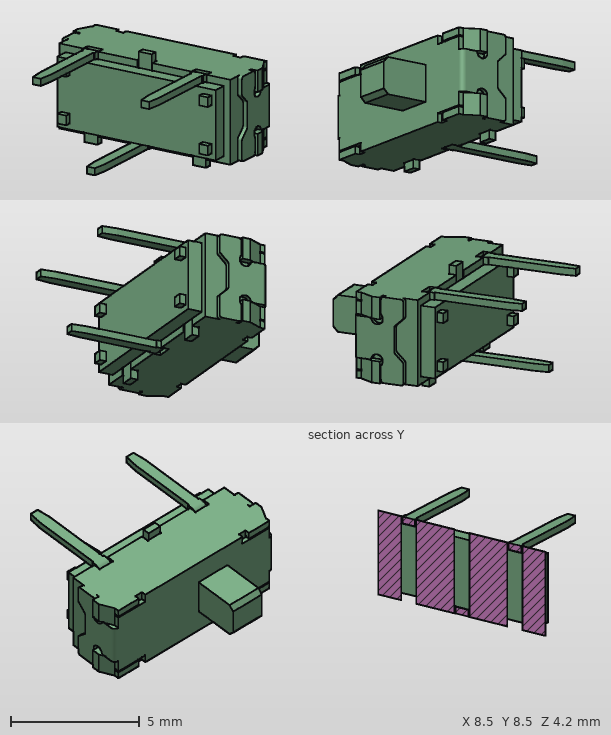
import cadquery as cq


overall_length = 8.5

housing_half_x = 3.94
housing_half_z = 1.75
housing_depth = 2.62
sheet = 0.2
bend_radius = 0.195

plate_outer_x = housing_half_x + sheet
plate_rear_y = -2.1
plate_waist_y = -1.71
cutout_center_z = 0.08
cutout_half_outer = 0.9
cutout_half_inner = 0.535
plate_corner_radius = 0.11
cutout_radius = 0.11

ear_outer_x = 4.25
ear_slope_y = -0.8
ear_rear_y = -1.14
ear_inner_z = 0.86
relief_radius = 0.25
relief_y = -0.97
relief_corner_radius = 0.085

notch_inner_x = 2.53
notch_outer_x = 2.87
flange_thickness = 0.31
relief_gap = 0.05

slider_length = 2.01
slider_center_x = -0.995
slider_width = 1.505
slider_height = 1.505
slider_chamfer = 0.2

base_half_x = 3.65
base_half_z = 1.445
base_rear_y = -3.22
peg_size = 0.4
peg_rear_y = -3.49
peg_x = 3.26
peg_z = 0.995

terminal_pitch = 2.5
terminal_thickness = 0.3
terminal_width = 0.6
terminal_slot_width = 0.7
terminal_slot_depth = 0.32
bend_inner_radius = 0.025
tab_reach = 2.1
pin_width = 0.5
pin_tip_width = 0.365
pin_shoulder_y = -2.8
pin_taper_y = -5.865
pin_end_y = slider_length - overall_length


def box(x_range, y_range, z_range):
    """Box spanning the given (low, high) range along each axis."""
    lows, highs = zip(x_range, y_range, z_range)
    sizes = [high - low for low, high in zip(lows, highs)]
    return cq.Workplane("XY").box(*sizes, centered=False).translate(lows)


def mirrored_in_x(shape):
    return shape.union(shape.mirror("YZ"))


def mirrored_in_z(shape):
    return shape.union(shape.mirror("XY"))


def plate_zone(y_low, y_high, z_low, z_high):
    """Selects edges of the -X end plate centred in the given range, widened by a small margin."""
    margin = 0.04
    return cq.selectors.BoxSelector(
        (-plate_outer_x - margin, y_low - margin, z_low - margin),
        (-housing_half_x + margin, y_high + margin, z_high + margin),
    )


def end_plate():
    """Cover plate on the -X end: bent front edge, trapezoid rear cut-out, two side openings."""
    top = housing_half_z
    plate = (
        cq.Workplane("YZ")
        .moveTo(0, -ear_inner_z)
        .lineTo(ear_rear_y, -ear_inner_z)
        .lineTo(ear_rear_y, -top)
        .lineTo(plate_rear_y, -top)
        .lineTo(plate_rear_y, cutout_center_z - cutout_half_outer)
        .lineTo(plate_waist_y, cutout_center_z - cutout_half_inner)
        .lineTo(plate_waist_y, cutout_center_z + cutout_half_inner)
        .lineTo(plate_rear_y, cutout_center_z + cutout_half_outer)
        .lineTo(plate_rear_y, top)
        .lineTo(ear_rear_y, top)
        .lineTo(ear_rear_y, ear_inner_z)
        .lineTo(0, ear_inner_z)
        .close()
        .extrude(sheet)
        .translate((-plate_outer_x, 0, 0))
    )
    cutout_zone = plate_zone(plate_rear_y, plate_waist_y, -housing_half_z, housing_half_z)
    plate = plate.edges("|X").edges(cutout_zone).fillet(cutout_radius)
    for side in (-housing_half_z, housing_half_z):
        corner_zone = plate_zone(ear_rear_y, ear_rear_y, side, side)
        plate = plate.edges("|X").edges(corner_zone).fillet(plate_corner_radius)
    plate = plate.edges("|Z and >Y").edges("<X").fillet(bend_radius)
    reliefs = (
        cq.Workplane("YZ")
        .pushPoints([(relief_y, -ear_inner_z), (relief_y, ear_inner_z)])
        .circle(relief_radius)
        .extrude(sheet)
        .translate((-plate_outer_x, 0, 0))
    )
    plate = plate.cut(reliefs)
    relief_front_y = relief_y + relief_radius
    for side in (-ear_inner_z, ear_inner_z):
        corner_zone = plate_zone(relief_front_y, relief_front_y, side, side)
        plate = plate.edges("|X").edges(corner_zone).fillet(relief_corner_radius)
    return plate


def ear():
    """Upper wedge-shaped latch at the -X end."""
    return (
        cq.Workplane("XY")
        .workplane(offset=ear_inner_z)
        .moveTo(-housing_half_x, -sheet)
        .lineTo(-ear_outer_x, ear_slope_y)
        .lineTo(-ear_outer_x, ear_rear_y)
        .lineTo(-housing_half_x, ear_rear_y)
        .close()
        .extrude(housing_half_z - ear_inner_z)
    )


def front_relief():
    """Notch in the upper -X part of the slider face, with the gap under the cover flange."""
    groove_z = housing_half_z - flange_thickness - relief_gap
    notch = box((-notch_outer_x, -notch_inner_x), (-sheet, 0), (groove_z, housing_half_z))
    gap = box((-housing_half_x, -notch_outer_x), (-sheet, 0), (groove_z, groove_z + relief_gap))
    return notch.union(gap)


def slider():
    half_width = slider_width / 2
    half_height = slider_height / 2
    knob = box(
        (slider_center_x - half_width, slider_center_x + half_width),
        (0, slider_length),
        (-half_height, half_height),
    )
    return knob.edges(">Y and |X").chamfer(slider_chamfer)


def terminal():
    """Terminal at X = 0 with its pin at the top and its tab at the bottom."""
    strip_front_y = terminal_slot_depth - housing_depth
    strip_rear_y = strip_front_y - terminal_thickness
    bend_outer_radius = terminal_thickness + bend_inner_radius
    bend_y = strip_front_y - bend_outer_radius
    pin_under_z = housing_half_z - terminal_thickness
    bend_z = housing_half_z - bend_outer_radius
    side = (
        cq.Workplane("YZ")
        .moveTo(strip_front_y, -tab_reach)
        .lineTo(strip_front_y, bend_z)
        .radiusArc((bend_y, housing_half_z), -bend_outer_radius)
        .lineTo(pin_end_y, housing_half_z)
        .lineTo(pin_end_y, pin_under_z)
        .lineTo(bend_y, pin_under_z)
        .radiusArc((strip_rear_y, bend_z), bend_inner_radius)
        .lineTo(strip_rear_y, -tab_reach)
        .close()
        .extrude(terminal_width / 2, both=True)
    )
    plan = (
        cq.Workplane("XY")
        .moveTo(0, strip_front_y)
        .lineTo(terminal_width / 2, strip_front_y)
        .lineTo(terminal_width / 2, pin_shoulder_y)
        .lineTo(pin_width / 2, pin_shoulder_y)
        .lineTo(pin_width / 2, pin_taper_y)
        .lineTo(pin_tip_width / 2, pin_end_y)
        .lineTo(0, pin_end_y)
        .close()
        .extrude(tab_reach, both=True)
    )
    return side.intersect(mirrored_in_x(plan))


housing = box(
    (-housing_half_x, housing_half_x), (-housing_depth, 0), (-housing_half_z, housing_half_z)
)
housing = housing.union(mirrored_in_x(end_plate().union(mirrored_in_z(ear()))))
housing = housing.cut(mirrored_in_x(mirrored_in_z(front_relief())))

half_slot = terminal_slot_width / 2
for slot_x in (-terminal_pitch, 0, terminal_pitch):
    housing = housing.cut(
        box(
            (slot_x - half_slot, slot_x + half_slot),
            (-housing_depth, terminal_slot_depth - housing_depth),
            (-housing_half_z, housing_half_z),
        )
    )

base = box((-base_half_x, base_half_x), (base_rear_y, -housing_depth), (-base_half_z, base_half_z))
half_peg = peg_size / 2
peg = box(
    (peg_x - half_peg, peg_x + half_peg),
    (peg_rear_y, base_rear_y),
    (peg_z - half_peg, peg_z + half_peg),
)
base = base.union(mirrored_in_x(mirrored_in_z(peg)))

result = housing.union(base).union(slider())
for terminal_x in (-terminal_pitch, terminal_pitch):
    result = result.union(terminal().translate((terminal_x, 0, 0)))
result = result.union(terminal().mirror("XY"))